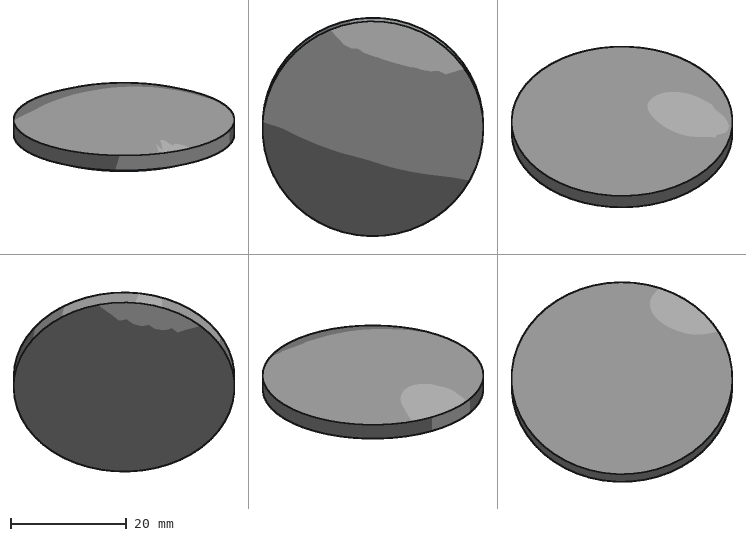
import cadquery as cq

lens_diameter = 38.1
center_thickness = 10.82
rim_thickness = 2.7

lens_radius = lens_diameter / 2
half_center = center_thickness / 2
half_rim = rim_thickness / 2
cap_height = half_center - half_rim

sphere_radius = (lens_radius**2 + cap_height**2) / (2 * cap_height)
arc_mid_radius = lens_radius / 2
sphere_center_z = half_center - sphere_radius
arc_mid_z = sphere_center_z + (sphere_radius**2 - arc_mid_radius**2) ** 0.5

half_section = (
    cq.Workplane("XZ")
    .moveTo(0, -half_center)
    .threePointArc((arc_mid_radius, -arc_mid_z), (lens_radius, -half_rim))
    .lineTo(lens_radius, half_rim)
    .threePointArc((arc_mid_radius, arc_mid_z), (0, half_center))
    .close()
)

result = half_section.revolve(360, (0, 0, 0), (0, 1, 0))